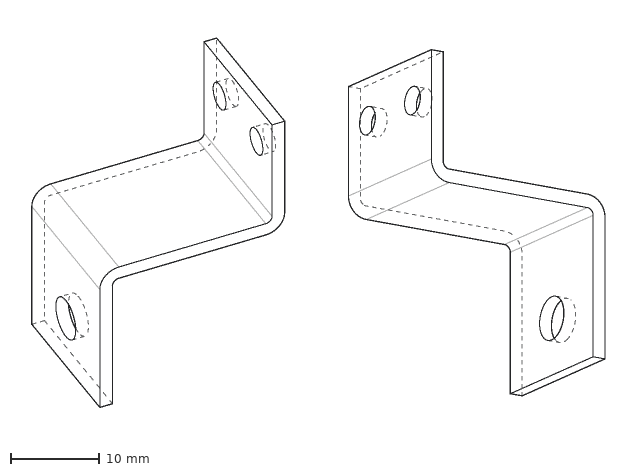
import cadquery as cq

width = 17.5
depth = 23.35
height = 32.85

thickness = 1.6
inner_radius = 0.8
outer_radius = inner_radius + thickness
upper_flange_height = 13.73

small_hole_diameter = 3.3
small_hole_spacing = 9.5
small_hole_drop = 5.02
large_hole_diameter = 5.1
large_hole_rise = 6.73

shelf_top = height - upper_flange_height
shelf_bottom = shelf_top - thickness


def bent_sheet():
    """Z-shaped sheet: lower flange at the front, upper flange at the back."""
    sheet = (
        cq.Workplane("YZ")
        .polyline([
            (0, 0),
            (thickness, 0),
            (thickness, shelf_bottom),
            (depth, shelf_bottom),
            (depth, height),
            (depth - thickness, height),
            (depth - thickness, shelf_top),
            (0, shelf_top),
        ])
        .close()
        .extrude(width / 2, both=True)
    )
    front_bend = (0, thickness, shelf_top, shelf_bottom)
    back_bend = (depth, depth - thickness, shelf_bottom, shelf_top)
    for outer_y, inner_y, outer_z, inner_z in (front_bend, back_bend):
        sheet = round_corner(sheet, outer_y, outer_z, outer_radius)
        sheet = round_corner(sheet, inner_y, inner_z, inner_radius)
    return sheet


def round_corner(body, y, z, radius):
    """Fillet the edge along X that passes through (y, z)."""
    edge = cq.selectors.NearestToPointSelector((0, y, z))
    return body.edges("|X").edges(edge).fillet(radius)


def hole_cutter(x, z, diameter):
    """Cylinder along Y, long enough to pass through either flange."""
    return cq.Workplane("XZ").center(x, z).circle(diameter / 2).extrude(-depth)


result = bent_sheet()
for side in (-1, 1):
    small_hole_x = side * small_hole_spacing / 2
    result = result.cut(hole_cutter(small_hole_x, height - small_hole_drop, small_hole_diameter))
result = result.cut(hole_cutter(0, large_hole_rise, large_hole_diameter))